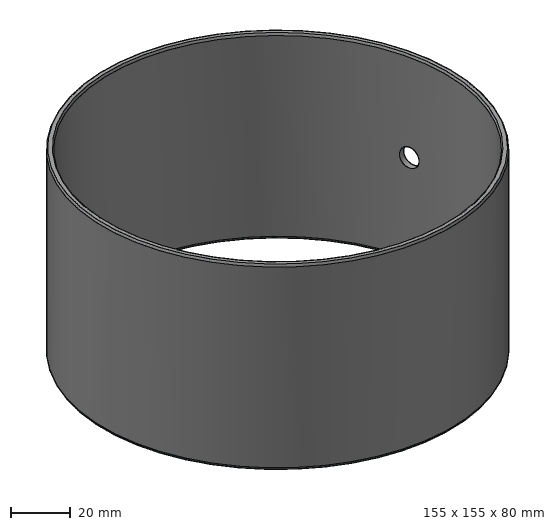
import cadquery as cq

outer_diameter = 155.0
height = 80.0
wall = 2.5

chamfer_width = 0.5
chamfer_height = 1.0

hole_diameter = 8.0
hole_height = height / 2

outer_radius = outer_diameter / 2
inner_radius = outer_radius - wall


def make_ring():
    """Thin tube standing on the XY plane, revolved from its chamfered wall section."""
    section = (
        cq.Workplane("XZ")
        .moveTo(inner_radius + chamfer_width, 0)
        .lineTo(outer_radius - chamfer_width, 0)
        .lineTo(outer_radius, chamfer_height)
        .lineTo(outer_radius, height - chamfer_height)
        .lineTo(outer_radius - chamfer_width, height)
        .lineTo(inner_radius + chamfer_width, height)
        .lineTo(inner_radius, height - chamfer_height)
        .lineTo(inner_radius, chamfer_height)
        .close()
    )
    ring_axis_start = (0, 0, 0)
    ring_axis_end = (0, 1, 0)
    return section.revolve(360, ring_axis_start, ring_axis_end)


def make_hole_cutter():
    """Cylinder running from the ring axis out through the +Y wall."""
    cutter = cq.Workplane("XZ").center(0, hole_height).circle(hole_diameter / 2)
    return cutter.extrude(-outer_diameter)


result = make_ring().cut(make_hole_cutter())